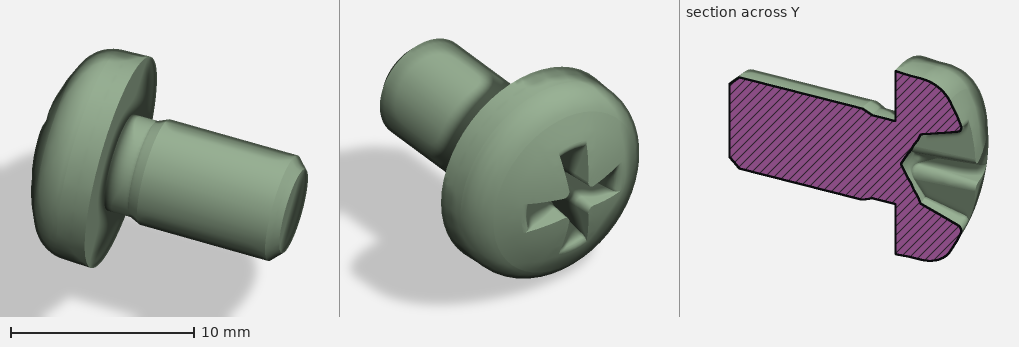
import cadquery as cq
import math


dome_apex = -0.06
dome_radius = 9.95
shoulder_radius = 2.0
dome_edge_radius = 4.93
head_back = 4.55
head_diameter = 12.0
head_side_draft = 2.0

neck_diameter = 5.45
neck_end = 5.92
shank_diameter = 6.0
shank_start = 6.53
shank_end = 14.55
end_chamfer = 0.61

wing_half_width = 0.51
wing_flare = 8.2
wing_length = 4.36
wing_draft = 4.1
wing_corner_radius = 0.33
rim_radius = 3.5
rim_rounding = 0.36
end_wall_angle = 19.5
floor_edge_radius = 2.25
floor_angle = 28.0
mouth_clearance = 0.73


def circle_point(center, radius, angle):
    """Point on a profile circle; the angle is measured from -X toward outward."""
    a = math.radians(angle)
    return center[0] - radius * math.cos(a), center[1] + radius * math.sin(a)


def revolve_profile(profile):
    return profile.close().revolve(360, (0, 0, 0), (1, 0, 0))


dome_center = (dome_apex + dome_radius, 0)


def make_body():
    edge_angle = math.degrees(math.asin(dome_edge_radius / dome_radius))
    side_angle = 90 - head_side_draft
    shoulder_center = circle_point(dome_center, dome_radius - shoulder_radius, edge_angle)
    profile = (
        cq.Workplane("XY")
        .moveTo(dome_apex, 0)
        .threePointArc(
            circle_point(dome_center, dome_radius, edge_angle / 2),
            circle_point(dome_center, dome_radius, edge_angle),
        )
        .threePointArc(
            circle_point(shoulder_center, shoulder_radius, (edge_angle + side_angle) / 2),
            circle_point(shoulder_center, shoulder_radius, side_angle),
        )
        .lineTo(head_back, head_diameter / 2)
        .lineTo(head_back, neck_diameter / 2)
        .lineTo(neck_end, neck_diameter / 2)
        .lineTo(shank_start, shank_diameter / 2)
        .lineTo(shank_end - end_chamfer, shank_diameter / 2)
        .lineTo(shank_end, shank_diameter / 2 - end_chamfer)
        .lineTo(shank_end, 0)
    )
    return revolve_profile(profile)


def make_recess_envelope():
    """Conical floor and end walls, with a convex rounding that meets the dome."""
    rim_angle = math.degrees(math.asin(rim_radius / dome_radius))
    rounding_center = circle_point(dome_center, dome_radius - rim_rounding, rim_angle)
    wall_angle = end_wall_angle - 90
    wall_top = circle_point(rounding_center, rim_rounding, wall_angle)
    wall_depth = (wall_top[1] - floor_edge_radius) / math.tan(math.radians(end_wall_angle))
    floor_edge = wall_top[0] + wall_depth
    floor_tip = floor_edge + floor_edge_radius * math.tan(math.radians(floor_angle))
    mouth = dome_apex - mouth_clearance
    profile = (
        cq.Workplane("XY")
        .moveTo(mouth, 0)
        .lineTo(mouth, rim_radius)
        .lineTo(*circle_point(dome_center, dome_radius, rim_angle))
        .threePointArc(
            circle_point(rounding_center, rim_rounding, (rim_angle + wall_angle) / 2),
            wall_top,
        )
        .lineTo(floor_edge, floor_edge_radius)
        .lineTo(floor_tip, 0)
    )
    return revolve_profile(profile), floor_tip


def make_cross(depth):
    """Four flared wings, drafted along X, with rounded corners between them."""
    flare = math.tan(math.radians(wing_flare))
    tip = wing_half_width + flare * wing_length
    corner = wing_half_width / (1 - flare)
    outline = []
    for quarter in range(4):
        c = round(math.cos(quarter * math.pi / 2))
        s = round(math.sin(quarter * math.pi / 2))
        for u, v in [(wing_length, -tip), (wing_length, tip), (corner, corner)]:
            outline.append((u * c - v * s, u * s + v * c))
    plane = cq.Workplane("YZ", origin=(dome_apex, 0, 0))
    inner_corners = cq.selectors.BoxSelector(
        (-depth, -wing_length / 2, -wing_length / 2),
        (2 * depth, wing_length / 2, wing_length / 2),
    )
    sharp_prism = plane.polyline(outline).close().extrude(depth)
    rounded = sharp_prism.edges("|X").edges(inner_corners).fillet(wing_corner_radius)
    return rounded.faces("<X").wires().toPending().extrude(depth, taper=wing_draft, combine=False)


envelope, recess_depth = make_recess_envelope()
cross = make_cross(recess_depth - dome_apex)
result = make_body().cut(envelope.intersect(cross))